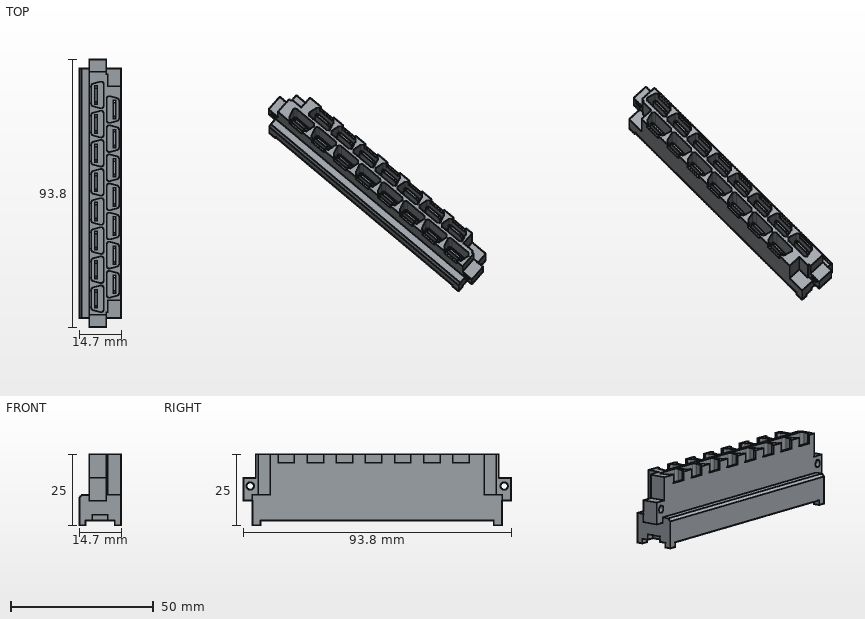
import cadquery as cq
import math

flange_x = 3.5
flange_width = 6.0
web_width = 0.52
rear_row_width = 4.7
web_x = flange_x + flange_width
rear_row_x = web_x + web_width
width = rear_row_x + rear_row_width

length = 93.85
height = 25.0

base_length = 87.5
base_top = 10.7
base_chamfer = 0.9
foot_height = 1.7
foot_width = 2.25
foot_length = 2.9

end_recess_x = 4.6
end_recess_width = 5.4
end_recess_top = 3.7
end_recess_depth = foot_length

flange_bottom = 8.7
flange_top = 16.6
flange_hole_diameter = 2.5
flange_hole_y = 44.5
flange_hole_z = 13.8
front_row_length = 85.2
web_length = 83.4
rear_row_length = 74.9

front_row_count = 8
rear_row_count = front_row_count - 1
first_cavity_y = -37.0
last_cavity_y = 34.4
pitch = (last_cavity_y - first_cavity_y) / (front_row_count - 1)
cavity_wall = 0.75
cavity_width = 4.3
cavity_wide_length = 9.95
cavity_taper_angle = 15.0
cavity_corner_radius = 0.89
cavity_floor = base_top

window_length = 5.7
window_depth = 3.1

blade_offset = 2.0
blade_thickness = 0.8
blade_length = 6.4
blade_top = 21.1
blade_tip_chamfer = 0.8


def block(x_min, x_size, y_size, z_min, z_max):
    """Box starting at x_min, centred on Y, between two heights."""
    return (
        cq.Workplane("XY", origin=(x_min, 0, z_min))
        .box(x_size, y_size, z_max - z_min, centered=(False, True, False))
    )


def make_base():
    base = block(0, width, base_length, 0, base_top)
    base = base.edges("<X and >Z").chamfer(base_chamfer)
    base = base.cut(block(foot_width, width - 2 * foot_width, base_length, 0, foot_height))
    base = base.cut(block(0, width, base_length - 2 * foot_length, 0, foot_height))
    for side in (-1, 1):
        recess = block(end_recess_x, end_recess_width, end_recess_depth, 0, end_recess_top)
        base = base.cut(recess.translate((0, side * (base_length - end_recess_depth) / 2, 0)))
    return base


def make_flange():
    flange = block(flange_x, flange_width, length, flange_bottom, flange_top)
    holes = (
        cq.Workplane("YZ", origin=(flange_x, 0, 0))
        .pushPoints([(-flange_hole_y, flange_hole_z), (flange_hole_y, flange_hole_z)])
        .circle(flange_hole_diameter / 2)
        .extrude(flange_width)
    )
    return flange.cut(holes)


def make_housing():
    front_row = block(flange_x, flange_width, front_row_length, base_top, height)
    web = block(web_x, web_width, web_length, base_top, height)
    rear_row = block(rear_row_x, rear_row_width, rear_row_length, base_top, height)
    return front_row.union(web).union(rear_row)


def make_cavity():
    """Pocket with its window; the outer wall face is at X = 0 and the pocket lies at X > 0."""
    inner_x = cavity_wall + cavity_width
    wide_half = cavity_wide_length / 2
    narrow_half = wide_half - cavity_width * math.tan(math.radians(cavity_taper_angle))
    pocket = (
        cq.Workplane("XY", origin=(0, 0, cavity_floor))
        .polyline([
            (cavity_wall, -narrow_half),
            (inner_x, -wide_half),
            (inner_x, wide_half),
            (cavity_wall, narrow_half),
        ])
        .close()
        .extrude(height - cavity_floor)
        .edges("|Z")
        .fillet(cavity_corner_radius)
    )
    window = block(0, cavity_wall + cavity_width / 2, window_length, height - window_depth, height)
    return pocket.union(window)


def make_blade():
    """Blade for one cavity, chamfered at both ends of its tip."""
    blade = block(blade_offset, blade_thickness, blade_length, cavity_floor, blade_top)
    return blade.edges("|X and >Z").chamfer(blade_tip_chamfer)


def place_row(shape, count, rear):
    """Copies of a cavity shape along one row; the rear row faces +X."""
    if rear:
        shape = shape.rotate((0, 0, 0), (0, 0, 1), 180)
    wall_x = width if rear else flange_x
    first_y = first_cavity_y + pitch / 2 if rear else first_cavity_y
    return [shape.translate((wall_x, first_y + i * pitch, 0)) for i in range(count)]


result = make_base().union(make_flange()).union(make_housing())

for count, rear in ((front_row_count, False), (rear_row_count, True)):
    for cavity in place_row(make_cavity(), count, rear):
        result = result.cut(cavity)
    for blade in place_row(make_blade(), count, rear):
        result = result.union(blade)